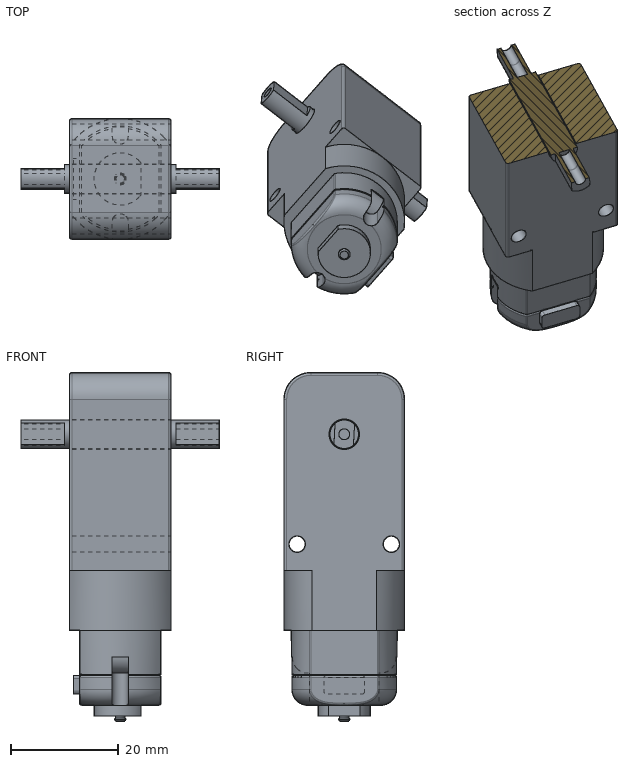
import cadquery as cq
import math

BOSS_BOTTOM = 1.0
CAP_BOTTOM = 3.0
CAP_TOP = 8.6
CAN_BOTTOM = 8.8
COLLAR_BOTTOM = 16.95
COLLAR_TOP = 28.1
MOUNT_HOLE_LEVEL = 33.0
AXLE_LEVEL = 53.5
HOUSING_TOP = 65.0

HOUSING_WIDTH = 19.0
HOUSING_DEPTH = 22.5
TOP_CORNER_RADIUS = 5.0
EDGE_RADIUS = 0.5
MOUNT_HOLE_DIAMETER = 3.0
MOUNT_HOLE_SPACING = 17.55
AXLE_HOLE_DIAMETER = 5.6

AXLE_LENGTH = 37.0
AXLE_DIAMETER = 5.4
FLAT_LENGTH = 8.05
ACROSS_FLATS = 3.65
FLAT_TILT = 3.0
BORE_DIAMETER = 2.0

MOTOR_DIAMETER = 19.75
MOTOR_WIDTH = 15.15
CAP_RADIUS = 3.0
FLAT_EDGE_RADIUS = 0.4
GROOVE_DEPTH = 0.4
SLOT_WIDTH = 3.0
SLOT_DEPTH = 3.4
SLOT_TOP = 11.95
RUN_OUT_RADIUS = 3.0
RUN_OUT_STEP = 0.2
TAB_PROJECTION = 1.2
TAB_LENGTH = 7.6
TAB_BOTTOM = 5.1
TAB_CORNER_RADIUS = 0.6
BOSS_DIAMETER = 9.75
BOSS_FLAT_OFFSET = 3.9
SHAFT_DIAMETER = 1.8
SHAFT_RIDGE_DIAMETER = 2.2
SHAFT_TIP_DIAMETER = 1.55
RIDGE_LEVEL = 0.4
NECK_BOTTOM = 0.6


def flatted_cylinder(diameter, width, bottom, top):
    """Vertical cylinder with two flats facing -X and +X, the given width apart."""
    height = top - bottom
    cylinder = cq.Workplane("XY").workplane(offset=bottom).circle(diameter / 2).extrude(height)
    slab = cq.Workplane("XY").box(width, diameter, height, centered=(True, True, False))
    return cylinder.intersect(slab.translate((0, 0, bottom)))


def cylinder_along_x(diameter, length, y, z):
    """Cylinder along X, centred on X = 0."""
    return cq.Workplane("YZ").center(y, z).circle(diameter / 2).extrude(length / 2, both=True)


def make_housing():
    """Gearbox case: rounded block above a flatted round collar."""
    height = HOUSING_TOP - COLLAR_TOP
    block = (
        cq.Workplane("XY")
        .workplane(offset=COLLAR_TOP)
        .rect(HOUSING_WIDTH, HOUSING_DEPTH)
        .extrude(height)
        .edges("|X and >Z")
        .fillet(TOP_CORNER_RADIUS)
    )
    block = block.faces("<X or >X").edges("not <Z").fillet(EDGE_RADIUS)
    housing = block.union(flatted_cylinder(HOUSING_DEPTH, HOUSING_WIDTH, COLLAR_BOTTOM, COLLAR_TOP))

    housing = housing.cut(cylinder_along_x(AXLE_HOLE_DIAMETER, HOUSING_WIDTH, 0, AXLE_LEVEL))
    for side in (-1, 1):
        y = side * MOUNT_HOLE_SPACING / 2
        housing = housing.cut(cylinder_along_x(MOUNT_HOLE_DIAMETER, HOUSING_WIDTH, y, MOUNT_HOLE_LEVEL))
    return housing


def make_axle():
    """Round axle through the housing, with a double flat and a blind bore at each end."""
    axle = cylinder_along_x(AXLE_DIAMETER, AXLE_LENGTH, 0, AXLE_LEVEL)
    for side in (-1, 1):
        x = side * (AXLE_LENGTH - FLAT_LENGTH) / 2
        end = cq.Workplane("XY").box(FLAT_LENGTH, AXLE_DIAMETER, AXLE_DIAMETER)
        tongue = cq.Workplane("XY").box(FLAT_LENGTH, ACROSS_FLATS, AXLE_DIAMETER)
        bore = cylinder_along_x(BORE_DIAMETER, FLAT_LENGTH, 0, 0)
        axle = axle.cut(end.cut(tongue).union(bore).translate((x, 0, AXLE_LEVEL)))
    axis_start = (0, 0, AXLE_LEVEL)
    axis_end = (1, 0, AXLE_LEVEL)
    return axle.rotate(axis_start, axis_end, -FLAT_TILT)


def make_can():
    """Straight flatted motor can under the housing, with a thin neck that joins it to the cap."""
    can = flatted_cylinder(MOTOR_DIAMETER, MOTOR_WIDTH, CAN_BOTTOM, COLLAR_BOTTOM)
    can = can.edges("|Z").fillet(FLAT_EDGE_RADIUS)
    neck_diameter = MOTOR_DIAMETER - 2 * GROOVE_DEPTH
    neck_width = MOTOR_WIDTH - 2 * GROOVE_DEPTH
    return can.union(flatted_cylinder(neck_diameter, neck_width, CAP_TOP, CAN_BOTTOM))


def make_cap():
    """Motor end cap: a bowl with two flats and a rounded upper rim along the groove."""
    bowl = (
        cq.Workplane("XY")
        .workplane(offset=CAP_BOTTOM)
        .circle(MOTOR_DIAMETER / 2)
        .extrude(CAP_TOP - CAP_BOTTOM)
        .faces("<Z")
        .edges()
        .fillet(CAP_RADIUS)
    )
    slab = cq.Workplane("XY").box(MOTOR_WIDTH, MOTOR_DIAMETER, CAP_TOP, centered=(True, True, False))
    cap = bowl.intersect(slab)
    cap = cap.faces("<X or >X").edges("not >Z").fillet(FLAT_EDGE_RADIUS)
    return cap.faces(">Z").edges().fillet(FLAT_EDGE_RADIUS)


def make_slot_cutter():
    """Round-bottomed slot in the -Y side, running out at the top along a convex arc."""
    outer_y = -MOTOR_DIAMETER / 2
    inner_y = outer_y + SLOT_DEPTH
    round_start_y = inner_y - SLOT_WIDTH / 2
    slot = (
        cq.Workplane("XY")
        .moveTo(-SLOT_WIDTH / 2, outer_y)
        .lineTo(-SLOT_WIDTH / 2, round_start_y)
        .threePointArc((0, inner_y), (SLOT_WIDTH / 2, round_start_y))
        .lineTo(SLOT_WIDTH / 2, outer_y)
        .close()
        .extrude(SLOT_TOP)
    )
    run_out_start_y = outer_y + RUN_OUT_STEP
    run_out_end_y = run_out_start_y + RUN_OUT_RADIUS
    run_out = (
        cq.Workplane("YZ")
        .moveTo(run_out_start_y, SLOT_TOP)
        .radiusArc((run_out_end_y, SLOT_TOP - RUN_OUT_RADIUS), -RUN_OUT_RADIUS)
        .lineTo(inner_y, SLOT_TOP - RUN_OUT_RADIUS)
        .lineTo(inner_y, SLOT_TOP)
        .close()
        .extrude(SLOT_WIDTH / 2, both=True)
    )
    return slot.cut(run_out)


def make_tab():
    """Rounded rectangular tab on the -X flat of the cap."""
    return (
        cq.Workplane("XY")
        .box(TAB_PROJECTION, TAB_LENGTH, CAP_TOP - TAB_BOTTOM, centered=(False, True, False))
        .edges("|X")
        .fillet(TAB_CORNER_RADIUS)
        .translate((-MOTOR_WIDTH / 2 - TAB_PROJECTION, 0, TAB_BOTTOM))
    )


def make_boss():
    """Bearing boss under the cap, with one flat facing +X."""
    radius = BOSS_DIAMETER / 2
    flat_half = math.sqrt(radius**2 - BOSS_FLAT_OFFSET**2)
    return (
        cq.Workplane("XY")
        .workplane(offset=BOSS_BOTTOM)
        .moveTo(BOSS_FLAT_OFFSET, flat_half)
        .threePointArc((-radius, 0), (BOSS_FLAT_OFFSET, -flat_half))
        .close()
        .extrude(CAP_BOTTOM - BOSS_BOTTOM)
    )


def make_shaft_end():
    """Motor shaft end under the boss: a short neck and a double-cone head."""
    return (
        cq.Workplane("XZ")
        .lineTo(SHAFT_TIP_DIAMETER / 2, 0)
        .lineTo(SHAFT_RIDGE_DIAMETER / 2, RIDGE_LEVEL)
        .lineTo(SHAFT_DIAMETER / 2, NECK_BOTTOM)
        .lineTo(SHAFT_DIAMETER / 2, BOSS_BOTTOM)
        .lineTo(0, BOSS_BOTTOM)
        .close()
        .revolve(360, (0, 0, 0), (0, 1, 0))
    )


def make_motor():
    """Motor: can, end cap, side slots, tab, bearing boss and shaft end."""
    motor = make_can().union(make_cap())
    slot = make_slot_cutter()
    for angle in (0, 180):
        motor = motor.cut(slot.rotate((0, 0, 0), (0, 0, 1), angle))
    return motor.union(make_tab()).union(make_boss()).union(make_shaft_end())


housing = make_housing()
axle = make_axle()
motor = make_motor()

result = cq.Compound.makeCompound([housing.val(), axle.val(), motor.val()])